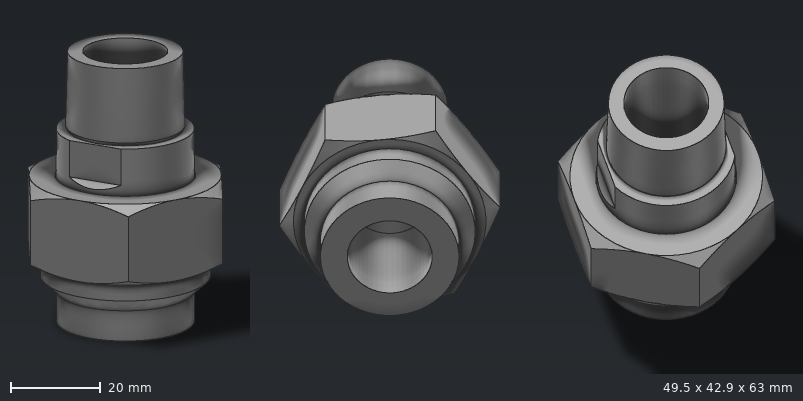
import cadquery as cq
import math


total_height = 63.0
nut_bottom = 15.05
nut_top = 34.0
shoulder_top = 45.0

bore_radius = 9.45
neck_radius = 15.45
thread_radius = 19.0

nut_across_flats = 42.9
nut_across_corners = nut_across_flats / math.cos(math.radians(30))
nut_chamfer_angle = 30.0
nut_lip_thickness = 4.4
neck_clearance = 0.25
lip_bottom = nut_top - nut_lip_thickness

collar_thickness = 4.4
collar_bottom = lip_bottom - collar_thickness
spigot_top_radius = 12.9
spigot_base_radius = 13.35
spigot_base = 45.75
relief_radius = 13.0
wrench_flat_distance = 14.0
wrench_flat_bottom = 36.5

socket_cone_bottom = 7.1
socket_cone_top = 10.6


def revolve_profile(points):
    """Revolve a closed (radius, height) outline around Z."""
    return cq.Workplane("XZ").polyline(points).close().revolve(360, (0, 0), (0, 1))


def wrench_flat_cutter():
    """Material outside the front wrench flat, ending in a 45 degree run-out."""
    flat_depth = neck_radius - wrench_flat_distance
    cut_depth = 2 * flat_depth
    outer_distance = wrench_flat_distance + cut_depth
    return (
        cq.Workplane("YZ")
        .polyline([
            (-wrench_flat_distance, shoulder_top),
            (-wrench_flat_distance, wrench_flat_bottom),
            (-outer_distance, wrench_flat_bottom - cut_depth),
            (-outer_distance, shoulder_top),
        ])
        .close()
        .extrude(neck_radius, both=True)
    )


def make_tailpiece():
    """Bored neck with a retaining collar, two wrench flats and a tapered spigot."""
    tailpiece = revolve_profile([
        (bore_radius, collar_bottom),
        (thread_radius, collar_bottom),
        (thread_radius, lip_bottom),
        (neck_radius, lip_bottom),
        (neck_radius, shoulder_top),
        (relief_radius, shoulder_top),
        (spigot_base_radius, spigot_base),
        (spigot_top_radius, total_height),
        (bore_radius, total_height),
    ])
    for angle in (0, 180):
        cutter = wrench_flat_cutter().rotate((0, 0, 0), (0, 0, 1), angle)
        tailpiece = tailpiece.cut(cutter)
    return tailpiece


def make_nut():
    """Hexagon nut, chamfered at both ends, with a lip above the tailpiece collar."""
    face_radius = nut_across_flats / 2
    corner_radius = nut_across_corners / 2
    corner_drop = (corner_radius - face_radius) * math.tan(math.radians(nut_chamfer_angle))
    hexagon = (
        cq.Workplane("XY")
        .workplane(offset=nut_bottom)
        .polygon(6, nut_across_corners)
        .extrude(nut_top - nut_bottom)
    )
    chamfered_envelope = revolve_profile([
        (0, nut_bottom),
        (face_radius, nut_bottom),
        (corner_radius, nut_bottom + corner_drop),
        (corner_radius, nut_top - corner_drop),
        (face_radius, nut_top),
        (0, nut_top),
    ])
    lip_radius = neck_radius + neck_clearance
    cavity = revolve_profile([
        (0, nut_bottom),
        (thread_radius, nut_bottom),
        (thread_radius, lip_bottom),
        (lip_radius, lip_bottom),
        (lip_radius, nut_top),
        (0, nut_top),
    ])
    return hexagon.intersect(chamfered_envelope).cut(cavity)


def make_socket():
    """Bored lower end that widens through a cone to the thread inside the nut."""
    return revolve_profile([
        (bore_radius, 0),
        (neck_radius, 0),
        (neck_radius, socket_cone_bottom),
        (thread_radius, socket_cone_top),
        (thread_radius, collar_bottom),
        (bore_radius, collar_bottom),
    ])


tailpiece = make_tailpiece()
nut = make_nut()
socket = make_socket()

result = cq.Compound.makeCompound([tailpiece.val(), nut.val(), socket.val()])